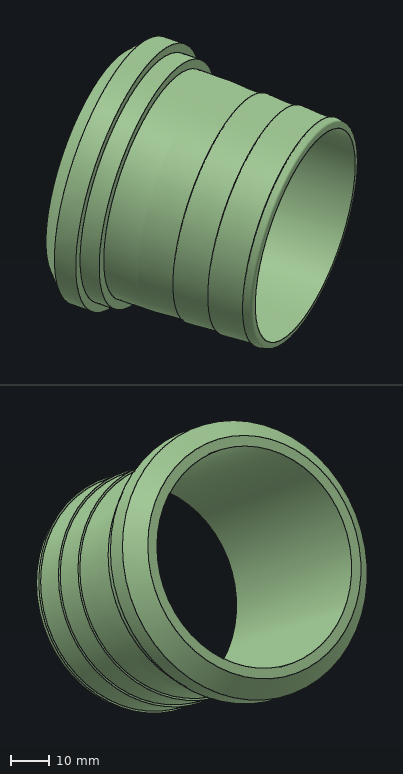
import cadquery as cq

bore_diameter = 58.7
barb_diameter = 63.5
barb_root_diameter = 62.4
shoulder_diameter = 68.85
flange_diameter = 73.95
face_diameter = 64.35

length = 59.55
bevel_end = 4.9
flange_end = 11.1
shoulder_end = 16.65
first_barb_start = 26.6
barb_length = 10.1
barb_count = 3
tip_rounding = 0.75


def barb_tooth(profile, start):
    """Slope one barb down towards the tip, then step out to full diameter."""
    end = start + barb_length
    return profile.lineTo(end, barb_root_diameter / 2).lineTo(end, barb_diameter / 2)


profile = (
    cq.Workplane("XY")
    .moveTo(0, bore_diameter / 2)
    .lineTo(0, face_diameter / 2)
    .lineTo(bevel_end, flange_diameter / 2)
    .lineTo(flange_end, flange_diameter / 2)
    .lineTo(flange_end, shoulder_diameter / 2)
    .lineTo(shoulder_end, shoulder_diameter / 2)
    .lineTo(shoulder_end, barb_diameter / 2)
    .lineTo(first_barb_start, barb_diameter / 2)
)
for barb in range(barb_count):
    profile = barb_tooth(profile, first_barb_start + barb * barb_length)

profile = (
    profile.lineTo(length, barb_root_diameter / 2)
    .lineTo(length, bore_diameter / 2)
    .close()
)

body = profile.revolve(360, (0, 0, 0), (1, 0, 0))

outer_rim = cq.selectors.RadiusNthSelector(-1)
result = body.faces(">X").edges(outer_rim).fillet(tip_rounding)